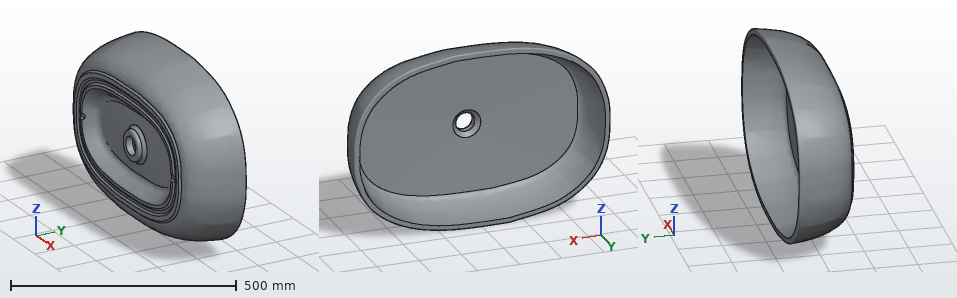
import cadquery as cq
import math


RIM_HALF_X = 303.03
RIM_HALF_Z = 209.6
HEIGHT = 136.46
RIM_Y = HEIGHT / 2
FOOT_Y = -HEIGHT / 2
OVAL_STRETCH = 97.0
RIM_POWER = 2.5
FOOT_POWER = 2.75
QUARTER_STEPS = 6

RIM_ROUND = 3.0
WALL = 12.0
CUT_OVERRUN = 2.0
CAP_TOLERANCE = 0.001

WALL_SWEEP = 85.0
WALL_STATIONS = 7
DRAFT_X = 3.0
DRAFT_Z = 9.0
SKIN_CURVE_X = 57.0
SKIN_CURVE_Z = 54.0
SKIN_BOTTOM_Y = -62.8
BOWL_CURVE = 30.0
BOWL_FLOOR_EDGE_Y = -25.0
BOWL_DRAIN_Y = -30.0

FOOT_ROOT_HALF = 144.5
FOOT_ROOT_Y = -63.5
FOOT_TOE_HALF = 140.0
GROOVE_OUTER_HALF = 129.0
GROOVE_INNER_HALF = 112.6
GROOVE_FLOOR_WIDTH = 6.0
GROOVE_DEPTH = 3.5

RECESS_MOUTH_HALF = 105.3
RECESS_LIP_HALF = 101.7
RECESS_LIP_Y = FOOT_Y + 3.0
RECESS_WALL_HALF = 90.0
RECESS_WALL_Y = -50.0
RECESS_BLEND_HALF = 82.0
RECESS_BLEND_Y = -39.5
RECESS_FLOOR_HALF = 72.5
RECESS_FLOOR_Y = -36.0
RECESS_DRAIN_Y = -41.0

BOSS_BASE_R = 45.0
BOSS_WAIST_R = 37.8
BOSS_WAIST_Y = -49.0
BOSS_TIP_R = 32.8
BOSS_TIP_Y = -57.0
BOSS_TIP_ROUND = 4.0
DRAIN_R = 22.3
DRAIN_SEAT_R = 33.0
DRAIN_SEAT_Y = -40.0

NOTCH_MOUTH = 16.4
NOTCH_FLOOR = 7.5
NOTCH_DEPTH = 5.0
NOTCH_OUTER_X = 215.0
NOTCH_INNER_X = 190.0


def oval(half_x, half_z, y, power):
    """Closed superellipse wire in the plane Y = y, made of four quarter splines."""

    def point(step):
        angle = step * math.pi / 2 / QUARTER_STEPS
        c = math.cos(angle)
        s = math.sin(angle)
        r = (abs(c) ** power + abs(s) ** power) ** (-1 / power)
        return cq.Vector(half_x * r * c, y, half_z * r * s)

    along_axes = [cq.Vector(0, 0, 1), cq.Vector(-1, 0, 0), cq.Vector(0, 0, -1), cq.Vector(1, 0, 0)]
    quarters = []
    for quarter in range(4):
        first = quarter * QUARTER_STEPS
        points = [point(first + step) for step in range(QUARTER_STEPS + 1)]
        tangents = [along_axes[quarter], along_axes[(quarter + 1) % 4]]
        quarters.append(cq.Edge.makeSpline(points, tangents=tangents))
    return cq.Wire.assembleEdges(quarters)


def foot_oval(half_z, y):
    return oval(half_z + OVAL_STRETCH, half_z, y, FOOT_POWER)


def inset_oval(inset_x, inset_z, y, power=RIM_POWER):
    return oval(RIM_HALF_X - inset_x, RIM_HALF_Z - inset_z, y, power)


def wall_ovals(inset, curve_x, curve_z, top_y, bottom_y):
    """Ovals down a side wall, at equal angles along its quarter ellipse."""
    drop = (top_y - bottom_y) / math.sin(math.radians(WALL_SWEEP))
    wires = []
    for station in range(WALL_STATIONS):
        angle = math.radians(WALL_SWEEP * station / (WALL_STATIONS - 1))
        depth = math.sin(angle)
        curl = 1 - math.cos(angle)
        inset_x = inset + DRAFT_X * depth + curve_x * curl
        inset_z = inset + DRAFT_Z * depth + curve_z * curl
        power = RIM_POWER + (FOOT_POWER - RIM_POWER) * curl
        wires.append(inset_oval(inset_x, inset_z, top_y - drop * depth, power))
    return wires


def drain_circle(radius, y):
    """Circle wire in the plane Y = y, made of four arcs that line up with the oval quarters."""

    def point(eighth):
        angle = eighth * math.pi / 4
        return cq.Vector(radius * math.cos(angle), y, radius * math.sin(angle))

    arcs = []
    for start in range(0, 8, 2):
        arcs.append(cq.Edge.makeThreePointArc(point(start), point(start + 1), point(start + 2)))
    return cq.Wire.assembleEdges(arcs)


def side_faces(wires, ruled):
    """Faces of a loft through the wires, without its two flat end caps."""
    faces = cq.Solid.makeLoft(wires, ruled).Faces()
    return [face for face in faces if face.BoundingBox().ylen > CAP_TOLERANCE]


def stacked_solid(*segments):
    """Solid made of loft segments (wires, ruled), each starting where the last one ended."""
    faces = [cq.Face.makeFromWires(segments[0][0][0]), cq.Face.makeFromWires(segments[-1][0][-1])]
    for wires, ruled in segments:
        faces += side_faces(wires, ruled)
    return cq.Workplane(obj=cq.Solid.makeSolid(cq.Shell.makeShell(faces)).fix())


def revolve_about_y(profile):
    return profile.close().revolve(360, (0, 0, 0), (0, 1, 0))


def make_skin():
    rim_wires = []
    for degrees in (0, 45, 90):
        angle = math.radians(degrees)
        inset = RIM_ROUND * (1 - math.cos(angle))
        rim_wires.append(inset_oval(inset, inset, RIM_Y - RIM_ROUND * (1 - math.sin(angle))))
    rim_wires.reverse()
    skin_wires = wall_ovals(0, SKIN_CURVE_X, SKIN_CURVE_Z, RIM_Y - RIM_ROUND, SKIN_BOTTOM_Y)
    neck_wires = [
        skin_wires[-1],
        foot_oval(FOOT_ROOT_HALF, FOOT_ROOT_Y),
        foot_oval(FOOT_TOE_HALF, FOOT_Y),
    ]
    return stacked_solid((rim_wires, False), (skin_wires, False), (neck_wires, True))


def make_bowl():
    basin_wires = wall_ovals(WALL, BOWL_CURVE, BOWL_CURVE, RIM_Y, BOWL_FLOOR_EDGE_Y)
    floor_wires = [
        basin_wires[-1],
        drain_circle(DRAIN_SEAT_R, BOWL_DRAIN_Y),
        drain_circle(DRAIN_R, DRAIN_SEAT_Y),
    ]
    return stacked_solid((basin_wires, False), (floor_wires, True))


def make_foot_groove():
    middle = (GROOVE_OUTER_HALF + GROOVE_INNER_HALF) / 2
    floor_y = FOOT_Y + GROOVE_DEPTH
    outer_wires = [
        foot_oval(GROOVE_OUTER_HALF, FOOT_Y),
        foot_oval(middle + GROOVE_FLOOR_WIDTH / 2, floor_y),
    ]
    core_wires = [
        foot_oval(GROOVE_INNER_HALF, FOOT_Y),
        foot_oval(middle - GROOVE_FLOOR_WIDTH / 2, floor_y),
    ]
    return stacked_solid((outer_wires, True)).cut(stacked_solid((core_wires, True)))


def make_recess():
    wall_wires = [
        foot_oval(RECESS_MOUTH_HALF, FOOT_Y),
        foot_oval(RECESS_LIP_HALF, RECESS_LIP_Y),
        foot_oval(RECESS_WALL_HALF, RECESS_WALL_Y),
    ]
    blend_wires = [
        wall_wires[-1],
        foot_oval(RECESS_BLEND_HALF, RECESS_BLEND_Y),
        foot_oval(RECESS_FLOOR_HALF, RECESS_FLOOR_Y),
    ]
    floor_wires = [
        blend_wires[-1],
        drain_circle(BOSS_WAIST_R, RECESS_DRAIN_Y),
    ]
    return stacked_solid((wall_wires, True), (blend_wires, False), (floor_wires, True))


def make_drain_boss():
    profile = (
        cq.Workplane("XY")
        .moveTo(0, BOWL_DRAIN_Y - CUT_OVERRUN)
        .lineTo(BOSS_BASE_R, BOWL_DRAIN_Y - CUT_OVERRUN)
        .lineTo(BOSS_BASE_R, RECESS_DRAIN_Y)
        .lineTo(BOSS_WAIST_R, BOSS_WAIST_Y)
        .lineTo(BOSS_TIP_R + BOSS_TIP_ROUND, BOSS_TIP_Y + BOSS_TIP_ROUND)
        .radiusArc((BOSS_TIP_R, BOSS_TIP_Y), BOSS_TIP_ROUND)
        .lineTo(0, BOSS_TIP_Y)
    )
    return revolve_about_y(profile)


def make_drain_hole():
    length = DRAIN_SEAT_Y - BOSS_TIP_Y + 2 * CUT_OVERRUN
    return (
        cq.Workplane("XZ", origin=(0, DRAIN_SEAT_Y + CUT_OVERRUN, 0))
        .circle(DRAIN_R)
        .extrude(length)
    )


def make_notch(side):
    start_x = NOTCH_INNER_X if side > 0 else -NOTCH_OUTER_X
    return (
        cq.Workplane("YZ", origin=(start_x, 0, 0))
        .moveTo(FOOT_Y, -NOTCH_MOUTH / 2)
        .lineTo(FOOT_Y + NOTCH_DEPTH, -NOTCH_FLOOR / 2)
        .lineTo(FOOT_Y + NOTCH_DEPTH, NOTCH_FLOOR / 2)
        .lineTo(FOOT_Y, NOTCH_MOUTH / 2)
        .close()
        .extrude(NOTCH_OUTER_X - NOTCH_INNER_X)
    )


basin = make_skin().cut(make_recess()).union(make_drain_boss())
basin = basin.cut(make_bowl()).cut(make_drain_hole()).cut(make_foot_groove())
for side in (-1, 1):
    basin = basin.cut(make_notch(side))

result = cq.Workplane(obj=basin.solids().val())